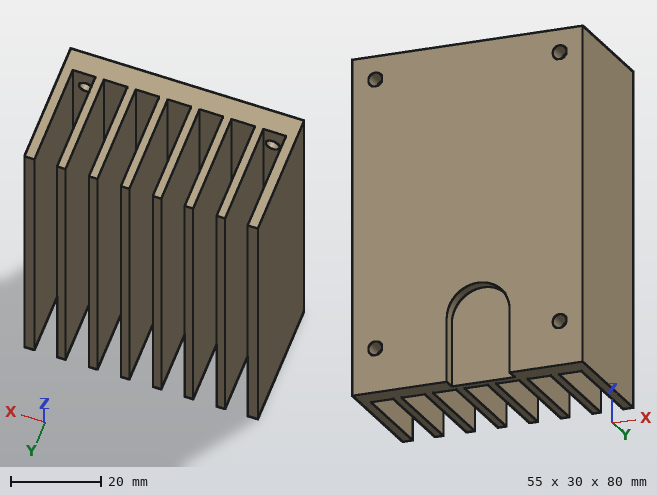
import cadquery as cq

width = 55.0
depth = 30.0
height = 80.0
base_thickness = 5.2

fin_count = 8
outer_fin_thickness = 2.4
inner_fin_thickness = 2.0
fin_pitch = 7.5

hole_diameter = 3.3
hole_side_margin = 5.5
hole_top_margin = 5.5
hole_bottom_margin = 10.5

recess_width = 15.0
recess_height = 22.5
recess_depth = 3.0
recess_center_x = 30.1


def box(x, y, z, length_x, length_y, length_z):
    """Box placed by its minimum corner."""
    return cq.Workplane("XY").box(length_x, length_y, length_z, centered=False).translate((x, y, z))


def make_fin(left_x, thickness):
    """Full-height fin standing on the base."""
    return box(left_x, base_thickness, 0, thickness, depth - base_thickness, height)


def make_fins():
    fins = make_fin(0, outer_fin_thickness)
    fins = fins.union(make_fin(width - outer_fin_thickness, outer_fin_thickness))
    inner_count = fin_count - 2
    for index in range(inner_count):
        center_x = width / 2 + (index - (inner_count - 1) / 2) * fin_pitch
        fins = fins.union(make_fin(center_x - inner_fin_thickness / 2, inner_fin_thickness))
    return fins


def make_holes():
    centers = [
        (x, z)
        for x in (hole_side_margin, width - hole_side_margin)
        for z in (hole_bottom_margin, height - hole_top_margin)
    ]
    return cq.Workplane("XZ").pushPoints(centers).circle(hole_diameter / 2).extrude(-base_thickness)


def make_recess():
    radius = recess_width / 2
    straight_height = recess_height - radius
    return (
        cq.Workplane("XZ")
        .moveTo(recess_center_x - radius, 0)
        .lineTo(recess_center_x - radius, straight_height)
        .threePointArc((recess_center_x, recess_height), (recess_center_x + radius, straight_height))
        .lineTo(recess_center_x + radius, 0)
        .close()
        .extrude(-recess_depth)
    )


result = box(0, 0, 0, width, base_thickness, height)
result = result.union(make_fins())
result = result.cut(make_holes()).cut(make_recess())